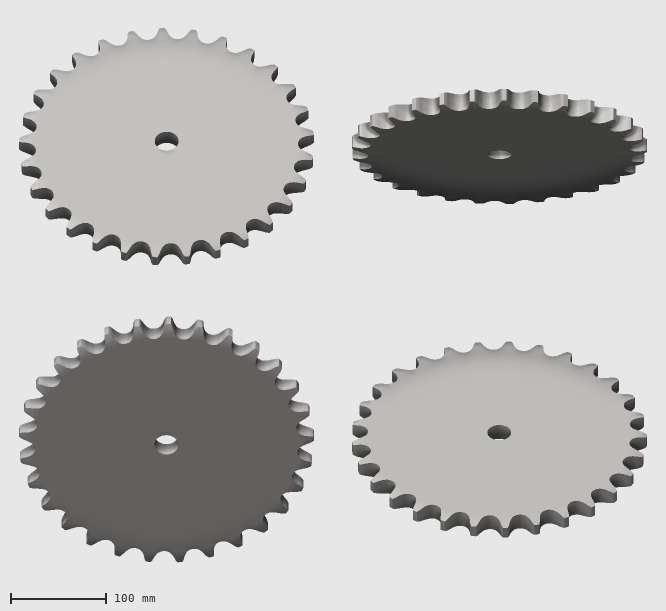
import cadquery as cq
import math

overall_width = 308.5
thickness = 18.5
bore_diameter = 25.0
tooth_count = 29
chain_pitch = 31.8
seat_radius = 9.5
seat_end_angle = 53.0
working_radius = 24.7
working_angle = 16.0
flank_length = 2.6
topping_radius = 15.5
flat_face_radius = 139.8
relief_radius = 40.0
rim_clearance = 3.0

pitch_angle = 360.0 / tooth_count
pitch_radius = chain_pitch / 2 / math.sin(math.radians(pitch_angle / 2))
half_thickness = thickness / 2
half_width = overall_width / 2


def step(start, direction_angle, distance):
    """Point at a distance from start, in a direction given in degrees from +X."""
    angle = math.radians(direction_angle)
    return (start[0] + distance * math.cos(angle), start[1] + distance * math.sin(angle))


def rotate(point, degrees):
    """Point turned counter-clockwise about the sprocket axis."""
    turn = math.radians(degrees)
    x, y = point
    return (x * math.cos(turn) - y * math.sin(turn), x * math.sin(turn) + y * math.cos(turn))


def mirror(point):
    return (-point[0], point[1])


seat_center = (0.0, pitch_radius)
seat_bottom = step(seat_center, -90, seat_radius)
seat_end = step(seat_center, seat_end_angle - 90, seat_radius)

flank_heading = seat_end_angle + working_angle
working_center = step(seat_end, seat_end_angle + 90, working_radius)
working_middle = step(working_center, seat_end_angle + working_angle / 2 - 90, working_radius)
working_end = step(working_center, flank_heading - 90, working_radius)

flank_end = step(working_end, flank_heading, flank_length)
topping_center = step(flank_end, flank_heading - 90, topping_radius)

extreme_space_turn = pitch_angle / 4 - 90
extreme_center = rotate(topping_center, extreme_space_turn)
corner_y = extreme_center[1] + math.sqrt(topping_radius**2 - (half_width - extreme_center[0]) ** 2)
tip_radius = math.hypot(half_width, corner_y)
tip_corner = rotate((half_width, corner_y), -extreme_space_turn)
topping_middle_heading = math.degrees(math.atan2(
    (flank_end[1] + tip_corner[1]) / 2 - topping_center[1],
    (flank_end[0] + tip_corner[0]) / 2 - topping_center[0],
))
topping_middle = step(topping_center, topping_middle_heading, topping_radius)


def add_tooth_space(outline, turn):
    """Continue the outline clockwise through one tooth space and over the next tip."""
    def right(point):
        return rotate(point, turn)

    def left(point):
        return rotate(mirror(point), turn)

    tip_middle = rotate((0.0, tip_radius), turn - pitch_angle / 2)
    next_corner = rotate(mirror(tip_corner), turn - pitch_angle)
    return (
        outline.threePointArc(left(topping_middle), left(flank_end))
        .lineTo(*left(working_end))
        .threePointArc(left(working_middle), left(seat_end))
        .threePointArc(right(seat_bottom), right(seat_end))
        .threePointArc(right(working_middle), right(working_end))
        .lineTo(*right(flank_end))
        .threePointArc(right(topping_middle), right(tip_corner))
        .threePointArc(tip_middle, next_corner)
    )


def toothed_plate():
    outline = cq.Workplane("XY", origin=(0, 0, -half_thickness)).moveTo(*mirror(tip_corner))
    for index in range(tooth_count):
        outline = add_tooth_space(outline, -index * pitch_angle)
    return outline.close().extrude(thickness)


def relief_envelope():
    """Disc whose rim curves inward on both sides; it reaches past the tooth tips."""
    rim_radius = tip_radius + rim_clearance
    rim_angle = math.degrees(math.acos((rim_radius - flat_face_radius) / relief_radius))
    relief_center = (flat_face_radius, half_thickness - relief_radius)
    relief_middle = step(relief_center, (90 + rim_angle) / 2, relief_radius)
    rim_edge = step(relief_center, rim_angle, relief_radius)
    return (
        cq.Workplane("XZ")
        .moveTo(0, -half_thickness)
        .lineTo(flat_face_radius, -half_thickness)
        .threePointArc((relief_middle[0], -relief_middle[1]), (rim_edge[0], -rim_edge[1]))
        .lineTo(*rim_edge)
        .threePointArc(relief_middle, (flat_face_radius, half_thickness))
        .lineTo(0, half_thickness)
        .close()
        .revolve(360, (0, 0), (0, 1))
    )


bore = cq.Workplane("XY", origin=(0, 0, -half_thickness)).circle(bore_diameter / 2).extrude(thickness)

result = toothed_plate().intersect(relief_envelope()).cut(bore)